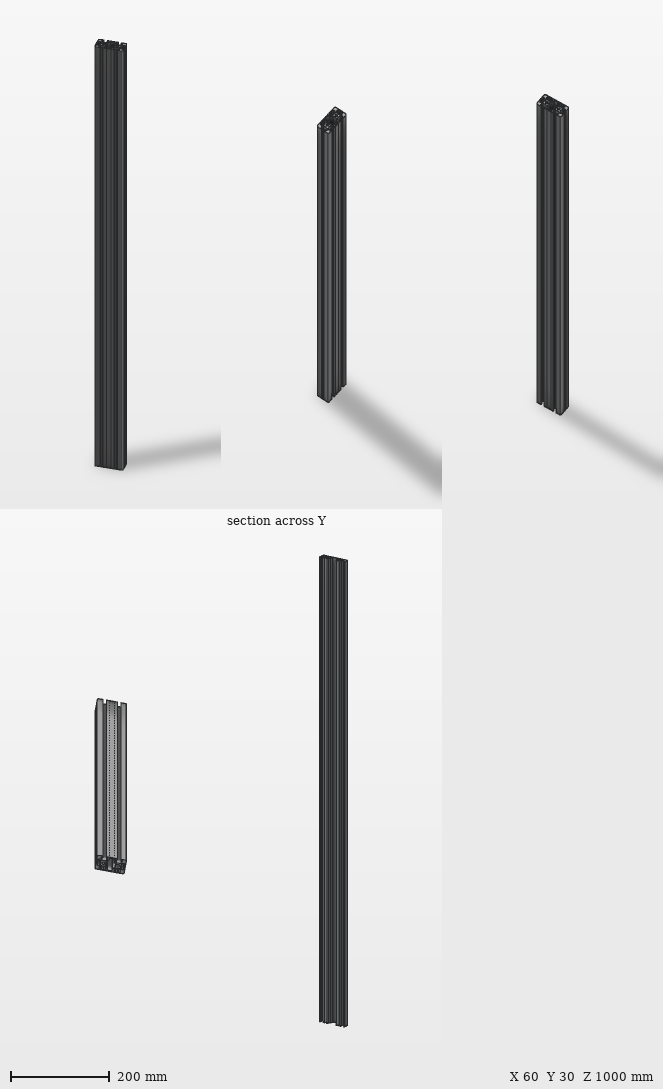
import cadquery as cq

length = 1000
bay = 30.0
width = 2 * bay
half_depth = bay / 2
corner_radius = 3.0
core_bore = 5.0

mouth_half_width = 3.5
lip_thickness = 3.0
undercut_half_width = 6.5
undercut_foot = 8.5
floor_height = 6.0
floor_half_width = 4.7
lip_inner_face = half_depth - lip_thickness

web_thickness = 0.2
cover_thickness = 1.5
cover_half_width = 2.0

hollow_half_width = 10.0
hollow_side_half_height = 2.5
hollow_neck_half_width = 5.0
hollow_neck_foot = 9.5
hollow_half_height = 13.0


def mirrored_about_y(half_outline):
    """Complete a right-hand half outline with its mirror image."""
    return half_outline + [(-x, y) for x, y in reversed(half_outline)]


def prism(outline):
    """Extrude a closed outline over the full length."""
    return cq.Workplane("XY").polyline(outline).close().extrude(length)


def slot(bay_x, angle, mouth_outline):
    """Undercut slot ending in mouth_outline, turned about its bay centre."""
    half_outline = [
        (floor_half_width, floor_height),
        (undercut_half_width, undercut_foot),
        (undercut_half_width, lip_inner_face),
        (mouth_half_width, lip_inner_face),
    ]
    pocket = prism(mirrored_about_y(half_outline + mouth_outline))
    return pocket.rotate((0, 0, 0), (0, 0, 1), angle).translate((bay_x, 0, 0))


def central_hollow():
    """Diamond-shaped hollow with a straight neck towards +Y and -Y."""
    upper_right = [
        (hollow_half_width, hollow_side_half_height),
        (hollow_neck_half_width, hollow_neck_foot),
        (hollow_neck_half_width, hollow_half_height),
    ]
    upper = mirrored_about_y(upper_right)
    lower = [(-x, -y) for x, y in upper]
    return prism(upper + lower)


open_mouth = [(mouth_half_width, half_depth)]
closed_mouth = [
    (mouth_half_width, half_depth - web_thickness),
    (cover_half_width, half_depth - web_thickness),
    (cover_half_width, half_depth - cover_thickness),
]

result = cq.Workplane("XY").rect(width, bay).extrude(length).edges("|Z").fillet(corner_radius)
result = result.cut(central_hollow())

for bay_x, outer_angle in ((-bay / 2, 90), (bay / 2, -90)):
    result = result.cut(slot(bay_x, 0, open_mouth))
    result = result.cut(slot(bay_x, 180, closed_mouth))
    result = result.cut(slot(bay_x, outer_angle, closed_mouth))
    core = cq.Workplane("XY").center(bay_x, 0).circle(core_bore / 2).extrude(length)
    result = result.cut(core)